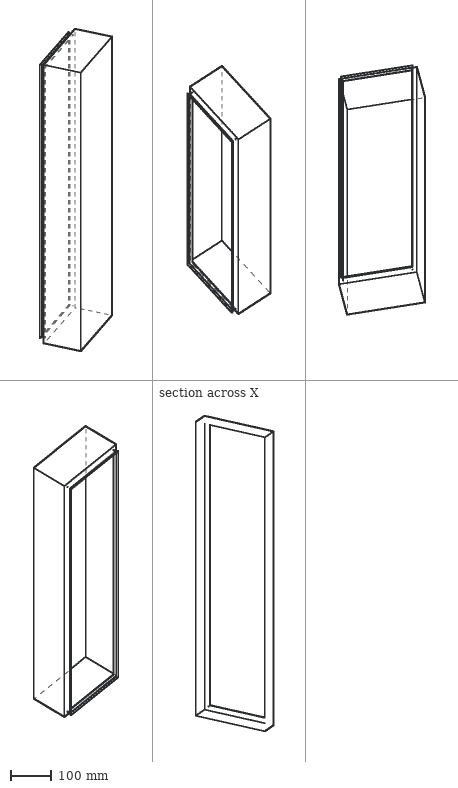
import cadquery as cq
import math

depth = 116.2
width = 200.0
height = 800.0

sheet = 1.2
bend_inner = 0.3
bend_outer = bend_inner + sheet

body_depth = 102.5
body_front = depth - body_depth
body_front_inner = body_front + sheet

neck_inset = 11.0
neck_inset_inner = neck_inset + sheet
flare_angle = math.radians(30)
flare_length = 5.3

tip_x = sheet * math.sin(flare_angle)
tip_inset = neck_inset - (flare_length - tip_x) * math.tan(flare_angle)
front_inset = tip_inset + sheet * math.cos(flare_angle)
flare_length_inner = flare_length - sheet * math.tan(flare_angle / 2)

pick_margin = 0.01


def rectangle(x, inset):
    """Rectangle at depth x, inset from the box sides and centred on the X axis."""
    return cq.Workplane("YZ", origin=(x, 0, 0)).rect(width - 2 * inset, height - 2 * inset)


def block(x_start, x_end, inset):
    """Straight prism between two depths."""
    return rectangle(x_start, inset).extrude(x_end - x_start)


def frustum(start, end):
    """Tapered solid between two rectangles, each given as (x, inset)."""
    x_start, inset_start = start
    x_end, inset_end = end
    return (
        rectangle(x_start, inset_start)
        .workplane(offset=x_end - x_start)
        .rect(width - 2 * inset_end, height - 2 * inset_end)
        .loft(ruled=True)
    )


def stack(sections, corner_radius):
    """Frustums joined end to end through the sections, with rounded corners."""
    solid = frustum(sections[0], sections[1])
    for start, end in zip(sections[1:], sections[2:]):
        solid = solid.union(frustum(start, end))
    return solid.edges("not(|Y or |Z)").fillet(corner_radius)


def round_loop(solid, x, inset, radius):
    """Fillet the loop of edges at depth x that lies on the rectangle with this inset."""
    half_width = width / 2 - inset + pick_margin
    half_height = height / 2 - inset + pick_margin
    loop = cq.selectors.BoxSelector(
        (x - pick_margin, -half_width, -half_height),
        (x + pick_margin, half_width, half_height),
    )
    return solid.edges(loop).fillet(radius)


def make_outside():
    """Solid envelope: rounded box with the flared collar on its front."""
    body = block(body_front, depth, 0).edges().fillet(bend_outer)
    collar = stack(
        [
            (0, front_inset),
            (tip_x, tip_inset),
            (flare_length, neck_inset),
            (body_front_inner, neck_inset),
        ],
        bend_outer,
    )
    return round_loop(body.union(collar), body_front, neck_inset, bend_inner)


def make_inside():
    """Hollow: box cavity reached through the flared collar."""
    cavity = block(body_front_inner, depth - sheet, sheet)
    passage = stack(
        [
            (0, front_inset),
            (flare_length_inner, neck_inset_inner),
            (body_front_inner, neck_inset_inner),
        ],
        bend_inner,
    )
    return round_loop(cavity.union(passage), body_front_inner, neck_inset_inner, bend_outer)


result = make_outside().cut(make_inside())